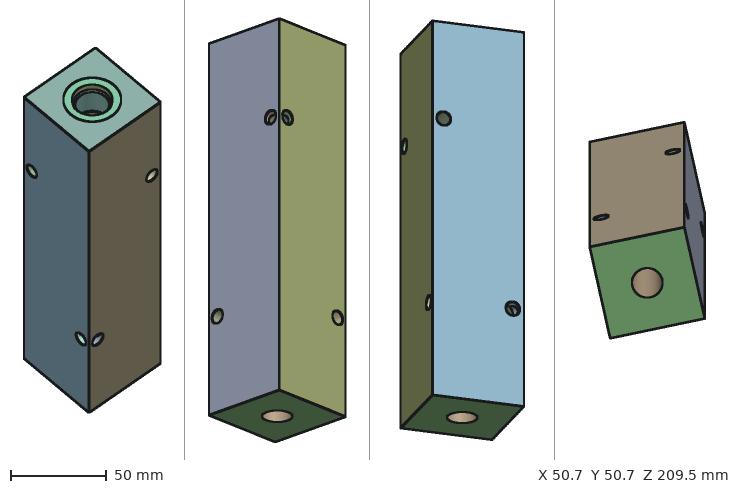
import cadquery as cq

height = 209.5
side = 50.7
edge_break = 0.25

spotface_diameter = 30.2
spotface_depth = 0.5
port_mouth_diameter = 21.2
port_cone_end_diameter = 19.7
port_cone_depth = 3.0
thread_diameter = 17.5
thread_depth = 18.9
bore_diameter = 16.0

cross_hole_diameter = 7.3
cross_hole_chamfer = 0.31
cross_hole_edge_distance = 6.3
cross_hole_end_distance = 54.0
cross_hole_offset = side / 2 - cross_hole_edge_distance
cross_hole_rise = height / 2 - cross_hole_end_distance


def make_block():
    """Block centred on the origin, with all its outer edges broken."""
    return cq.Workplane("XY").box(side, side, height).edges().chamfer(edge_break)


def make_port():
    """Spotface, tapered mouth, chamfered thread hole and through bore as one revolved cutter."""
    top = height / 2
    spotface_floor = top - spotface_depth
    cone_end = spotface_floor - port_cone_depth
    thread_chamfer = (port_cone_end_diameter - thread_diameter) / 2
    thread_end = spotface_floor - thread_depth
    profile = [
        (0, top),
        (spotface_diameter / 2, top),
        (spotface_diameter / 2, spotface_floor),
        (port_mouth_diameter / 2, spotface_floor),
        (port_cone_end_diameter / 2, cone_end),
        (thread_diameter / 2, cone_end - thread_chamfer),
        (thread_diameter / 2, thread_end),
        (bore_diameter / 2, thread_end),
        (bore_diameter / 2, -height / 2),
        (0, -height / 2),
    ]
    return cq.Workplane("XZ").polyline(profile).close().revolve(360, (0, 0), (0, 1))


def make_cross_hole(offset, rise):
    """Hole along Y through the block, countersunk at both faces."""
    half_side = side / 2
    hole_radius = cross_hole_diameter / 2
    mouth_radius = hole_radius + cross_hole_chamfer
    profile = [
        (0, -half_side),
        (mouth_radius, -half_side),
        (hole_radius, cross_hole_chamfer - half_side),
        (hole_radius, half_side - cross_hole_chamfer),
        (mouth_radius, half_side),
        (0, half_side),
    ]
    hole = cq.Workplane("XY").polyline(profile).close().revolve(360, (0, 0), (0, 1))
    return hole.translate((offset, 0, rise))


block = make_block().cut(make_port())
for level in (1, -1):
    hole = make_cross_hole(-level * cross_hole_offset, level * cross_hole_rise)
    turned_hole = hole.rotate((0, 0, 0), (0, 0, 1), -90)
    block = block.cut(hole).cut(turned_hole)

result = block